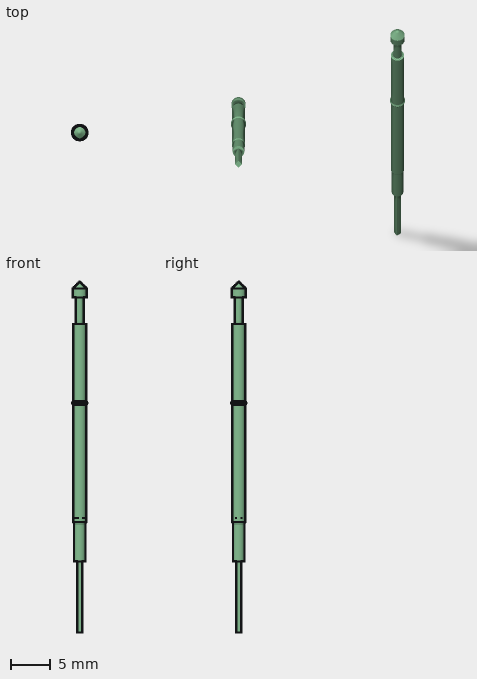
import cadquery as cq


tube_diameter = 1.68
ring_diameter = 1.93
tail_diameter = 1.47
bore_diameter = 1.38
bore_depth = 24.5
ring_top_depth = 9.75
ring_upper_height = 0.22
ring_lower_height = 0.27
tube_length = 25.0
shoulder_height = 0.25
sleeve_length = 30.0
post_side = 0.64
post_length = 9.0

barrel_diameter = 1.36
plunger_diameter = 1.02
plunger_length = 3.35
head_diameter = 1.8
head_length = 1.1
point_height = head_diameter / 2


def revolve_about_z(half_profile):
    """Close a half profile drawn in the XZ plane and turn it about the Z axis."""
    return half_profile.close().revolve(360, (0, 0), (0, 1))


def make_receptacle():
    """Sleeve with a blind bore, and the square post under it."""
    tube_radius = tube_diameter / 2
    tail_radius = tail_diameter / 2
    ring_crest_depth = ring_top_depth + ring_upper_height
    ring_bottom_depth = ring_crest_depth + ring_lower_height
    shoulder_width = tube_radius - tail_radius
    shoulder_radius = (shoulder_width**2 + shoulder_height**2) / (2 * shoulder_width)
    sleeve = revolve_about_z(
        cq.Workplane("XZ")
        .lineTo(tube_radius, 0)
        .lineTo(tube_radius, -ring_top_depth)
        .lineTo(ring_diameter / 2, -ring_crest_depth)
        .lineTo(tube_radius, -ring_bottom_depth)
        .lineTo(tube_radius, -tube_length)
        .radiusArc((tail_radius, -tube_length - shoulder_height), -shoulder_radius)
        .lineTo(tail_radius, -sleeve_length)
        .lineTo(0, -sleeve_length)
    )
    post = (
        cq.Workplane("XY", origin=(0, 0, -sleeve_length))
        .rect(post_side, post_side)
        .extrude(-post_length)
    )
    bore = cq.Workplane("XY").circle(bore_diameter / 2).extrude(-bore_depth)
    return sleeve.union(post).cut(bore)


def make_probe():
    """Barrel on the floor of the bore and flush with the mouth, plunger and conical point."""
    barrel_radius = barrel_diameter / 2
    plunger_radius = plunger_diameter / 2
    head_radius = head_diameter / 2
    head_top = plunger_length + head_length
    return revolve_about_z(
        cq.Workplane("XZ")
        .moveTo(0, -bore_depth)
        .lineTo(barrel_radius, -bore_depth)
        .lineTo(barrel_radius, 0)
        .lineTo(plunger_radius, 0)
        .lineTo(plunger_radius, plunger_length)
        .lineTo(head_radius, plunger_length)
        .lineTo(head_radius, head_top)
        .lineTo(0, head_top + point_height)
    )


receptacle = make_receptacle()
probe = make_probe()

result = cq.Compound.makeCompound([receptacle.val(), probe.val()])